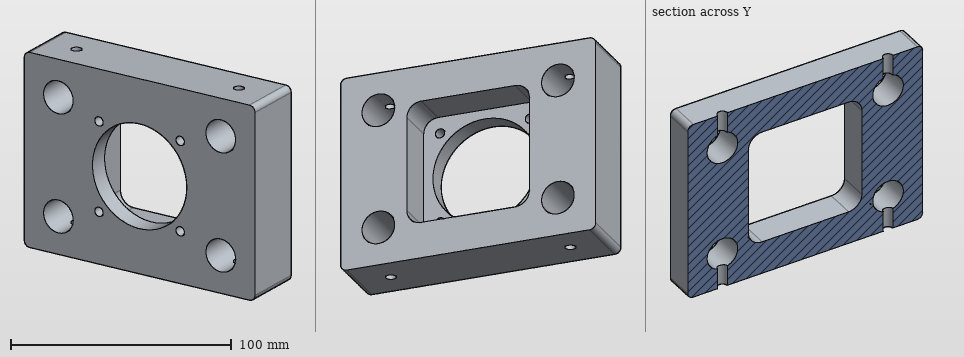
import cadquery as cq

width = 125.0
thickness = 30.0
height = 95.0
corner_radius = 3.0

bore_diameter = 51.0
front_wall = 10.0
pocket_side = 60.0
pocket_corner_radius = 7.0

screw_diameter = 4.5
screw_spacing = 44.0

rod_diameter = 16.0
rod_spacing_x = 88.0
rod_spacing_z = 58.0

clamp_diameter = 5.0
clamp_depth = (height - rod_spacing_z) / 2

back_y = thickness / 2


def make_block():
    """Plain block with its four long Y edges rounded."""
    block = cq.Workplane("XY").box(width, thickness, height)
    return block.edges("|Y").fillet(corner_radius)


def drill_pattern(spacing_x, spacing_z, diameter):
    """Four cylinders running through the thickness on a centred rectangle."""
    return (
        cq.Workplane("XZ", origin=(0, back_y, 0))
        .rect(spacing_x, spacing_z, forConstruction=True)
        .vertices()
        .circle(diameter / 2)
        .extrude(thickness)
    )


def make_opening():
    """Bore through the thickness joined with the rounded pocket from the back."""
    bore = (
        cq.Workplane("XZ", origin=(0, back_y, 0))
        .circle(bore_diameter / 2)
        .extrude(thickness)
    )
    pocket = (
        cq.Workplane("XZ", origin=(0, back_y, 0))
        .rect(pocket_side, pocket_side)
        .extrude(thickness - front_wall)
        .edges("|Y")
        .fillet(pocket_corner_radius)
    )
    return bore.union(pocket)


def make_clamp_drills():
    """Vertical cylinders from the top and bottom faces to the rod hole axes."""
    upper = (
        cq.Workplane("XY", origin=(0, 0, height / 2))
        .pushPoints([(-rod_spacing_x / 2, 0), (rod_spacing_x / 2, 0)])
        .circle(clamp_diameter / 2)
        .extrude(-clamp_depth)
    )
    lower = upper.mirror("XY")
    return upper.union(lower)


result = (
    make_block()
    .cut(make_opening())
    .cut(drill_pattern(screw_spacing, screw_spacing, screw_diameter))
    .cut(drill_pattern(rod_spacing_x, rod_spacing_z, rod_diameter))
    .cut(make_clamp_drills())
)